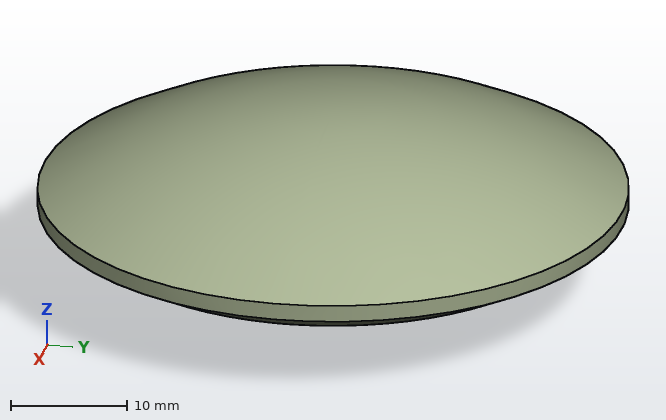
import cadquery as cq

diameter = 50.8
center_thickness = 15.5
rim_thickness = 1.45

radius = diameter / 2
half_center = center_thickness / 2
half_rim = rim_thickness / 2

cap_height = half_center - half_rim
sphere_radius = (radius**2 + cap_height**2) / (2 * cap_height)

mid_x = radius / 2
sphere_center_z = half_center - sphere_radius
mid_z = sphere_center_z + (sphere_radius**2 - mid_x**2) ** 0.5

half_section = (
    cq.Workplane("XZ")
    .moveTo(0, -half_center)
    .threePointArc((mid_x, -mid_z), (radius, -half_rim))
    .lineTo(radius, half_rim)
    .threePointArc((mid_x, mid_z), (0, half_center))
    .close()
)

result = half_section.revolve(360, (0, 0, 0), (0, 1, 0))